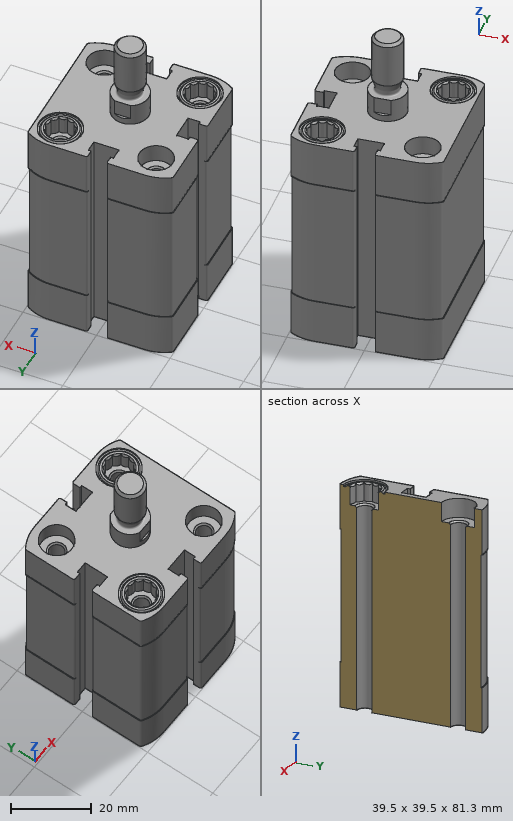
import cadquery as cq
import math

TOTAL_HEIGHT = 81.3
HOUSING_WIDTH = 39.5
HOUSING_HEIGHT = 59.1
CAP_HEIGHT = 12.0
BARREL_INSET = 0.25
HALF_WIDTH = HOUSING_WIDTH / 2

HOLE_OFFSET = 13.0
CORNER_RADIUS = 11.9
CORNER_EDGE_FILLET = 0.8

SLOT_MOUTH_WIDTH = 5.3
SLOT_INNER_WIDTH = 6.8
SLOT_LIP_DEPTH = 2.35
SLOT_DEPTH = 5.6
SLOT_MOUTH_FILLET = 0.5
SLOT_ANGLES = (90, 180, 270)

SCREW_HOLE_DIAMETER = 4.15
SCREW_HOLE_MOUTH_DIAMETER = 5.0
POCKET_DIAMETER = 9.0
POCKET_DEPTH = 5.0

RECESS_DIAMETER = 11.5
RECESS_DEPTH = 0.5
COLLAR_BASE_DIAMETER = 10.5
COLLAR_TOP_DIAMETER = 9.7
COLLAR_TOP_DEPTH = 0.1
SOCKET_BORE_DIAMETER = 7.5
FLUTE_DIAMETER = 8.1
SOCKET_MOUTH_DIAMETER = 8.45
FLUTE_COUNT = 12
LAND_HALF_ANGLE = 5.7

SHOULDER_DIAMETER = 10.0
SHOULDER_HEIGHT = 6.3
FLATS_WIDTH = 9.0
FLATS_HEIGHT = 4.3
FLAT_RUNOUT = 0.25
NECK_DIAMETER = 6.4
NECK_FILLET = 0.5
NECK_LENGTH = 1.5
THREAD_DIAMETER = 8.0
THREAD_TAPER_LENGTH = 2.2
TIP_CHAMFER = 0.7


def housing_section(inset):
    """Closed outline of the housing without slots, set back evenly by `inset`."""
    side = HALF_WIDTH - inset
    radius = CORNER_RADIUS - inset
    centre_y = HALF_WIDTH - CORNER_RADIUS
    edge_angle = math.acos((side - HOLE_OFFSET) / radius)
    edge_y = centre_y + radius * math.sin(edge_angle)
    middle_angle = (edge_angle + math.pi / 2) / 2
    middle_x = HOLE_OFFSET + radius * math.cos(middle_angle)
    middle_y = centre_y + radius * math.sin(middle_angle)
    return (
        cq.Workplane("XY")
        .moveTo(side, -edge_y)
        .lineTo(side, edge_y)
        .threePointArc((middle_x, middle_y), (HOLE_OFFSET, side))
        .lineTo(-HOLE_OFFSET, side)
        .threePointArc((-middle_x, middle_y), (-side, edge_y))
        .lineTo(-side, -edge_y)
        .threePointArc((-middle_x, -middle_y), (-HOLE_OFFSET, -side))
        .lineTo(HOLE_OFFSET, -side)
        .threePointArc((middle_x, -middle_y), (side, -edge_y))
        .close()
    )


def slot_cutter(inset, height):
    """T-shaped slot through the +X side, its mouth edges rounded outwards."""
    half_mouth = SLOT_MOUTH_WIDTH / 2
    half_inner = SLOT_INNER_WIDTH / 2
    face = HALF_WIDTH - inset
    lip = HALF_WIDTH - SLOT_LIP_DEPTH
    floor = HALF_WIDTH - SLOT_DEPTH
    flare = SLOT_MOUTH_FILLET
    flare_middle = flare * (1 - math.sqrt(0.5))
    return (
        cq.Workplane("XY")
        .moveTo(face, half_mouth + flare)
        .threePointArc((face - flare_middle, half_mouth + flare_middle), (face - flare, half_mouth))
        .lineTo(lip, half_mouth)
        .lineTo(lip, half_inner)
        .lineTo(floor, half_inner)
        .lineTo(floor, -half_inner)
        .lineTo(lip, -half_inner)
        .lineTo(lip, -half_mouth)
        .lineTo(face - flare, -half_mouth)
        .threePointArc((face - flare_middle, -half_mouth - flare_middle), (face, -half_mouth - flare))
        .close()
        .extrude(height)
    )


def housing_segment(inset, bottom, height):
    """One length of the housing: rounded outline with its three slots."""
    blank = housing_section(inset).extrude(height)
    corner_edges = blank.faces("<X or >X").edges("|Z")
    segment = corner_edges.fillet(CORNER_EDGE_FILLET)
    slot = slot_cutter(inset, height)
    for angle in SLOT_ANGLES:
        segment = segment.cut(slot.rotate((0, 0, 0), (0, 0, 1), angle))
    return segment.translate((0, 0, bottom))


def disc(diameter, bottom, top):
    return cq.Workplane("XY").workplane(offset=bottom).circle(diameter / 2).extrude(top - bottom)


def cone(bottom_diameter, top_diameter, bottom, top):
    return cq.Workplane(cq.Solid.makeCone(
        bottom_diameter / 2, top_diameter / 2, top - bottom, pnt=cq.Vector(0, 0, bottom)
    ))


def screw_hole_cutter():
    """Through hole with a countersunk mouth at the pocket floor."""
    floor = HOUSING_HEIGHT - POCKET_DEPTH
    mouth_depth = (SCREW_HOLE_MOUTH_DIAMETER - SCREW_HOLE_DIAMETER) / 2
    hole = disc(SCREW_HOLE_DIAMETER, 0, floor)
    mouth = cone(SCREW_HOLE_DIAMETER, SCREW_HOLE_MOUTH_DIAMETER, floor - mouth_depth, floor)
    return hole.union(mouth)


def pocket_hole_cutter():
    """Plain round pocket above a screw hole."""
    pocket = disc(POCKET_DIAMETER, HOUSING_HEIGHT - POCKET_DEPTH, HOUSING_HEIGHT)
    return screw_hole_cutter().union(pocket)


def socket_bore(bottom, top):
    """Bore with V flutes all round; one flute points along +X."""
    pitch = 360 / FLUTE_COUNT
    land_radius = SOCKET_BORE_DIAMETER / 2
    flute_radius = FLUTE_DIAMETER / 2
    points = []
    for i in range(FLUTE_COUNT):
        land_angle = (i + 0.5) * pitch
        for radius, degrees in (
            (flute_radius, i * pitch),
            (land_radius, land_angle - LAND_HALF_ANGLE),
            (land_radius, land_angle + LAND_HALF_ANGLE),
        ):
            angle = math.radians(degrees)
            points.append((radius * math.cos(angle), radius * math.sin(angle)))
    return cq.Workplane("XY").workplane(offset=bottom).polyline(points).close().extrude(top - bottom)


def socket_hole_cutter():
    """Fluted socket with a conical collar in a ring recess, above a screw hole."""
    collar_top = HOUSING_HEIGHT - COLLAR_TOP_DEPTH
    recess_floor = HOUSING_HEIGHT - RECESS_DEPTH
    mouth_bottom = collar_top - (SOCKET_MOUTH_DIAMETER - SOCKET_BORE_DIAMETER) / 2
    collar = cone(COLLAR_BASE_DIAMETER, COLLAR_TOP_DIAMETER, recess_floor, collar_top)
    recess = disc(RECESS_DIAMETER, recess_floor, HOUSING_HEIGHT).cut(collar)
    bore = socket_bore(HOUSING_HEIGHT - POCKET_DEPTH, collar_top)
    mouth = cone(SOCKET_BORE_DIAMETER, SOCKET_MOUTH_DIAMETER, mouth_bottom, collar_top)
    return screw_hole_cutter().union(bore).union(mouth).union(recess)


def make_housing():
    barrel_height = HOUSING_HEIGHT - 2 * CAP_HEIGHT
    body = housing_segment(0, 0, CAP_HEIGHT)
    body = body.union(housing_segment(BARREL_INSET, CAP_HEIGHT, barrel_height))
    body = body.union(housing_segment(0, HOUSING_HEIGHT - CAP_HEIGHT, CAP_HEIGHT))
    pocket_hole = pocket_hole_cutter()
    socket_hole = socket_hole_cutter()
    for side in (-1, 1):
        x = side * HOLE_OFFSET
        body = body.cut(pocket_hole.translate((x, -x, 0)))
        body = body.cut(socket_hole.translate((x, x, 0)))
    return body


def wrench_flat_cutter():
    """Removes the +Y side of the shoulder down to a flat with a sloped lower end."""
    flat = FLATS_WIDTH / 2
    outside = SHOULDER_DIAMETER / 2
    top = HOUSING_HEIGHT + SHOULDER_HEIGHT
    bottom = top - FLATS_HEIGHT
    return (
        cq.Workplane("YZ")
        .polyline([(flat, top), (flat, bottom), (outside, bottom - FLAT_RUNOUT), (outside, top)])
        .close()
        .extrude(outside, both=True)
    )


def make_rod():
    """Piston rod standing on the housing's top face."""
    shoulder = SHOULDER_DIAMETER / 2
    neck = NECK_DIAMETER / 2
    thread = THREAD_DIAMETER / 2
    shoulder_top = HOUSING_HEIGHT + SHOULDER_HEIGHT
    neck_top = shoulder_top + NECK_LENGTH
    fillet_middle = NECK_FILLET * (1 - math.sqrt(0.5))
    rod = (
        cq.Workplane("XZ")
        .moveTo(0, HOUSING_HEIGHT)
        .lineTo(shoulder, HOUSING_HEIGHT)
        .lineTo(shoulder, shoulder_top)
        .lineTo(neck + NECK_FILLET, shoulder_top)
        .threePointArc(
            (neck + fillet_middle, shoulder_top + fillet_middle),
            (neck, shoulder_top + NECK_FILLET),
        )
        .lineTo(neck, neck_top)
        .lineTo(thread, neck_top + THREAD_TAPER_LENGTH)
        .lineTo(thread, TOTAL_HEIGHT - TIP_CHAMFER)
        .lineTo(thread - TIP_CHAMFER, TOTAL_HEIGHT)
        .lineTo(0, TOTAL_HEIGHT)
        .close()
        .revolve(360, (0, 0, 0), (0, 1, 0))
    )
    taper_foot = cq.selectors.NearestToPointSelector((0, 0, neck_top))
    rod = rod.edges(taper_foot).fillet(NECK_FILLET)
    flat = wrench_flat_cutter()
    return rod.cut(flat).cut(flat.mirror("XZ"))


housing = make_housing()
piston_rod = make_rod()
result = cq.Compound.makeCompound([housing.solids().val(), piston_rod.solids().val()])